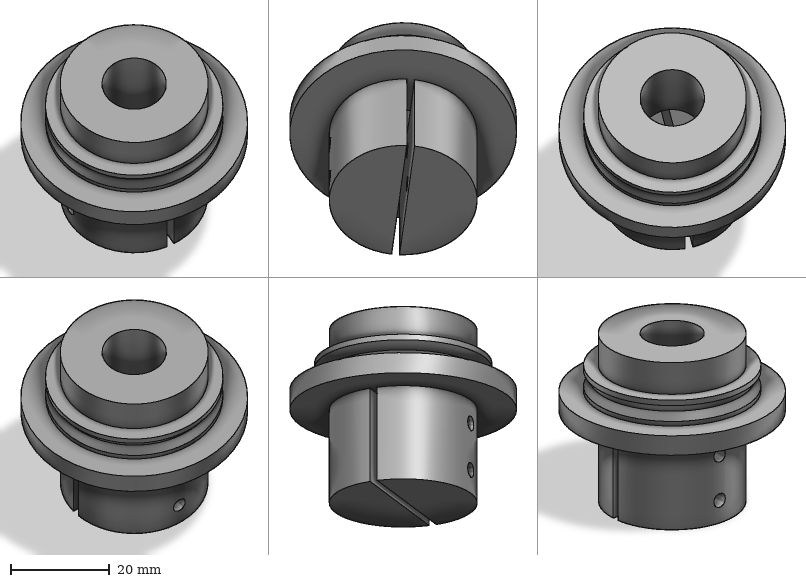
import cadquery as cq
import math

barrel_diameter = 30.0
barrel_height = 20.0

flange_diameter = 46.0
flange_thickness = 4.3
collar_diameter = 36.0
collar_top = 30.0
total_height = 37.0
spigot_diameter = barrel_diameter

groove_depth = 1.2
groove_width = 3.5
groove_lower_land = 1.0

bore_diameter = 13.0
bore_floor = barrel_height

slot_width = 1.6
slot_angle = -10.25
screw_hole_diameter = 3.0
screw_hole_heights = (5.0, 15.0)


def make_body():
    """Revolve the stepped outline, with its V-groove, about the Z axis."""
    barrel_radius = barrel_diameter / 2
    flange_radius = flange_diameter / 2
    collar_radius = collar_diameter / 2
    spigot_radius = spigot_diameter / 2
    flange_top = barrel_height + flange_thickness
    groove_bottom_edge = flange_top + groove_lower_land
    groove_valley = groove_bottom_edge + groove_width / 2
    groove_top_edge = groove_bottom_edge + groove_width
    outline = [
        (0, 0),
        (barrel_radius, 0),
        (barrel_radius, barrel_height),
        (flange_radius, barrel_height),
        (flange_radius, flange_top),
        (collar_radius, flange_top),
        (collar_radius, groove_bottom_edge),
        (collar_radius - groove_depth, groove_valley),
        (collar_radius, groove_top_edge),
        (collar_radius, collar_top),
        (spigot_radius, collar_top),
        (spigot_radius, total_height),
        (0, total_height),
    ]
    return cq.Workplane("XZ").polyline(outline).close().revolve(360, (0, 0, 0), (0, 1, 0))


def make_bore():
    """Cylinder that opens the top face down to the bore floor."""
    bore_depth = total_height - bore_floor
    return cq.Workplane("XY").workplane(offset=bore_floor).circle(bore_diameter / 2).extrude(bore_depth)


def make_slot():
    """Slab that splits the full height of the barrel across its diameter."""
    slab = cq.Workplane("XY").box(
        flange_diameter, slot_width, barrel_height, centered=(True, True, False)
    )
    return slab.rotate((0, 0, 0), (0, 0, 1), slot_angle)


def make_screw_hole(height):
    """Radial pin that crosses the whole barrel, square to the slot."""
    angle = math.radians(slot_angle)
    across = cq.Vector(math.sin(angle), -math.cos(angle), 0)
    start = cq.Vector(0, 0, height) - across * (barrel_diameter / 2)
    pin = cq.Solid.makeCylinder(screw_hole_diameter / 2, barrel_diameter, start, across)
    return cq.Workplane("XY").add(pin)


result = make_body().cut(make_bore()).cut(make_slot())
for hole_height in screw_hole_heights:
    result = result.cut(make_screw_hole(hole_height))